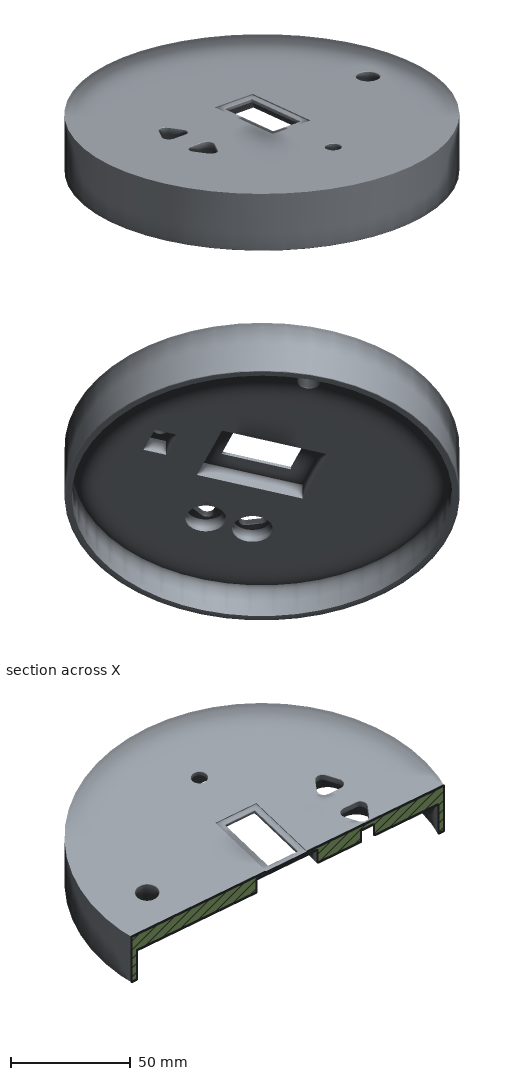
import cadquery as cq
import math

outer_diameter = 165.0
height = 26.0
slab_thickness = 9.4
wall_thickness = 3.0
edge_chamfer = 0.2
chamfer_angle = 45.0
cavity_diameter = outer_diameter - 2 * wall_thickness
slab_bottom = height - slab_thickness

window_center = (0.0, 0.35)
bezel_size = (36.5, 21.0)
bezel_depth = 0.5
window_size = (30.8, 15.1)
display_skin = 2.0
display_pocket_margin = 8.0

cable_hole_diameter = 10.0
cable_hole_center = (0.0, 59.0)

switch_hole_diameter = 7.0
switch_hole_center = (45.0, 0.0)
switch_skin = 2.0
switch_pocket_size = (10.0, 14.0)

button_spacing = 20.7
button_center_y = -41.1
button_inradius = 4.85
button_corner_radius = 3.0
button_skin = 3.0
button_bore_diameter = 17.0


def sketch_plane(center, z):
    """Horizontal workplane centred on an XY point at height z."""
    return cq.Workplane("XY", origin=(center[0], center[1], z))


def block(center, size, bottom, top):
    return sketch_plane(center, bottom).rect(*size).extrude(top - bottom)


def cylinder(center, diameter, bottom, top):
    return sketch_plane(center, bottom).circle(diameter / 2).extrude(top - bottom)


def cut_opening(body, cutter):
    """Cut an opening and chamfer the rim left in the flat face at the top of the cutter."""
    rim = cutter.faces(">Z").wires().val()
    flare_base = cq.Workplane("XY").add(rim.offset2D(edge_chamfer, "intersection")[0]).toPending()
    flare = flare_base.extrude(-edge_chamfer, taper=chamfer_angle)
    return body.cut(cutter).cut(flare)


def make_cap():
    body = cylinder((0, 0), outer_diameter, 0, height)
    body = body.faces("<Z").edges().chamfer(edge_chamfer)
    return body.cut(cylinder((0, 0), cavity_diameter, 0, slab_bottom))


def cut_display_window(body):
    bezel_floor = height - bezel_depth
    pocket_size = [side + 2 * display_pocket_margin for side in window_size]
    body = body.cut(block(window_center, bezel_size, bezel_floor, height))
    body = cut_opening(body, block(window_center, window_size, slab_bottom, bezel_floor))
    return body.cut(block(window_center, pocket_size, slab_bottom, height - display_skin))


def cut_cable_hole(body):
    return cut_opening(body, cylinder(cable_hole_center, cable_hole_diameter, slab_bottom, height))


def cut_switch_hole(body):
    body = cut_opening(body, cylinder(switch_hole_center, switch_hole_diameter, slab_bottom, height))
    return body.cut(block(switch_hole_center, switch_pocket_size, slab_bottom, height - switch_skin))


def cut_button(body, side):
    """Rounded triangle pointing away from the other button; side is -1 or +1."""
    center = (side * button_spacing / 2, button_center_y)
    half_base = button_inradius * math.sqrt(3)
    base_x = -side * button_inradius
    tip_x = side * 2 * button_inradius
    triangle = (
        sketch_plane(center, slab_bottom)
        .polyline([(base_x, -half_base), (tip_x, 0), (base_x, half_base)])
        .close()
        .extrude(slab_thickness)
        .edges("|Z")
        .fillet(button_corner_radius)
    )
    bore = cylinder(center, button_bore_diameter, slab_bottom, height - button_skin)
    return cut_opening(body, triangle).cut(bore)


result = make_cap()
result = cut_display_window(result)
result = cut_cable_hole(result)
result = cut_switch_hole(result)
for button_side in (-1, 1):
    result = cut_button(result, button_side)